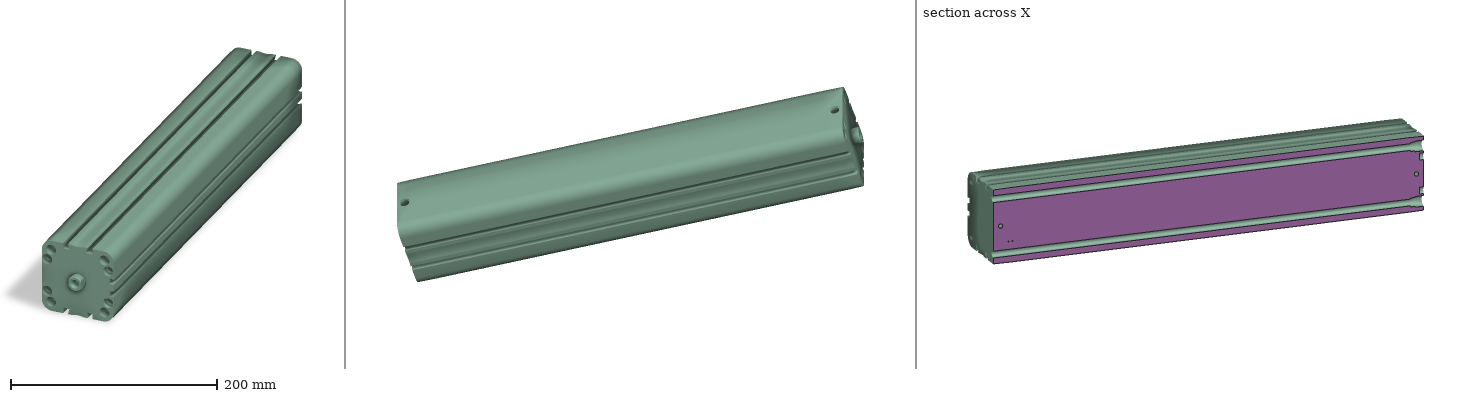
import cadquery as cq

side = 77.0
total_length = 457.0
rod_length = 7.5
corner_radius = 11.5
half = side / 2
cap_length = 14.0
cap_draft = 1.0
front_y = -total_length / 2 + rod_length
back_y = total_length / 2
cut_margin = 4.5

wide_slot_depth = 6.0
wide_slot_outer = 15.5
rib_top_half_width = 10.5
rib_root_half_width = 8.5
rib_groove_half_width = 6.5
rib_groove_depth = 1.0

side_slot_depth = 5.0
side_rib_half_width = 3.5
side_slot_mouth = 9.0
side_slot_floor = 10.5

mount_offset = 28.5
mount_hole_diameter = 6.5
mount_bore_diameter = 10.5
mount_bore_depth = 9.0
mount_step_diameter = 8.5
mount_step_depth = 13.5

screw_x = 32.5
screw_z = 17.5
screw_bore_diameter = 10.5
screw_bore_depth = 4.5
screw_socket_diameter = 6.5
screw_socket_depth = 2.7

port_inset = 7.8
port_bore_diameter = 10.5
port_bore_depth = 1.0
port_hole_diameter = 8.5
port_hole_depth = 8.0
port_passage_diameter = 4.0
port_passage_depth = 11.0

rod_diameter = 16.0
rod_clearance_diameter = 17.5
rod_clearance_depth = 2.5
rod_neck_length = 1.5
rod_flat_width = 13.0
rod_chamfer = 1.0
rod_hole_diameter = 7.0
rod_hole_depth = 18.5
rod_hole_mouth_diameter = 9.5


def along_y(profile, start, end):
    """Extrude a profile drawn in X and Z from y = start to y = end."""
    return profile.extrude(start - end).translate((0, start, 0))


def cylinder_y(x, z, diameter, start, end):
    profile = cq.Workplane("XZ").center(x, z).circle(diameter / 2)
    return along_y(profile, start, end)


def full_length_cutter(profile):
    return along_y(profile, front_y - cut_margin, back_y + cut_margin)


def four_places(x, z):
    return [(sx * x, sz * z) for sx in (-1, 1) for sz in (-1, 1)]


def make_cap(barrel, end):
    """Extend the barrel outline past one end, narrowing by the draft angle."""
    outline = barrel.faces(end).wires().toPending().workplane()
    return outline.extrude(cap_length, taper=cap_draft, combine=False)


def make_body():
    profile = cq.Workplane("XZ").rect(side, side)
    barrel = along_y(profile, front_y + cap_length, back_y - cap_length)
    barrel = barrel.edges("|Y").fillet(corner_radius)
    groove = top_groove()
    barrel = barrel.cut(groove).cut(groove.mirror("XY"))
    return barrel.union(make_cap(barrel, "<Y")).union(make_cap(barrel, ">Y"))


def top_slot():
    floor = half - wide_slot_depth
    profile = cq.Workplane("XZ").polyline([
        (rib_root_half_width, floor),
        (wide_slot_outer, floor),
        (wide_slot_outer, half + cut_margin),
        (rib_top_half_width, half + cut_margin),
        (rib_top_half_width, half),
    ]).close()
    return full_length_cutter(profile)


def top_groove():
    profile = (
        cq.Workplane("XZ")
        .moveTo(-rib_groove_half_width, half)
        .threePointArc((0, half - rib_groove_depth), (rib_groove_half_width, half))
        .lineTo(rib_groove_half_width, half + cut_margin)
        .lineTo(-rib_groove_half_width, half + cut_margin)
        .close()
    )
    return full_length_cutter(profile)


def side_slot():
    floor = half - side_slot_depth
    profile = cq.Workplane("XZ").polyline([
        (floor, side_rib_half_width),
        (half + cut_margin, side_rib_half_width),
        (half + cut_margin, side_slot_mouth),
        (half, side_slot_mouth),
        (floor, side_slot_floor),
    ]).close()
    return full_length_cutter(profile)


def cut_slots(body):
    slot = top_slot()
    narrow = side_slot()
    for cutter in (slot, slot.mirror("YZ")):
        body = body.cut(cutter).cut(cutter.mirror("XY"))
    return body.cut(narrow).cut(narrow.mirror("XY"))


def cut_mounting_holes(body):
    for x, z in four_places(mount_offset, mount_offset):
        hole = cylinder_y(x, z, mount_hole_diameter, front_y - cut_margin, back_y + cut_margin)
        bore = cylinder_y(x, z, mount_bore_diameter, front_y - cut_margin, front_y + mount_bore_depth)
        step = cylinder_y(x, z, mount_step_diameter, front_y - cut_margin, front_y + mount_step_depth)
        body = body.cut(hole).cut(step).cut(bore)
    return body


def cut_cover_screws(body):
    floor = front_y + screw_bore_depth
    for x, z in four_places(screw_x, screw_z):
        body = body.cut(cylinder_y(x, z, screw_bore_diameter, front_y - cut_margin, floor))
        body = body.cut(cylinder_y(x, z, screw_socket_diameter, front_y, floor + screw_socket_depth))
    return body


def cut_ports(body):
    for y in (front_y + port_inset, back_y - port_inset):
        for diameter, depth in (
            (port_bore_diameter, port_bore_depth),
            (port_hole_diameter, port_hole_depth),
            (port_passage_diameter, port_passage_depth),
        ):
            cutter = cq.Workplane("YZ").center(y, 0).circle(diameter / 2).extrude(depth)
            body = body.cut(cutter.translate((-half, 0, 0)))
    return body


def add_rod(body):
    tip = front_y - rod_length
    inner_end = front_y + rod_clearance_depth
    clearance = cylinder_y(0, 0, rod_clearance_diameter, front_y - cut_margin, inner_end)
    rod = cylinder_y(0, 0, rod_diameter, tip, inner_end).faces("<Y").chamfer(rod_chamfer)
    neck_y = front_y - rod_neck_length
    flat_part = along_y(cq.Workplane("XZ").rect(rod_flat_width, rod_diameter), tip, neck_y)
    full_part = cylinder_y(0, 0, rod_diameter, neck_y, inner_end)
    rod = rod.intersect(flat_part.union(full_part))
    hole = cylinder_y(0, 0, rod_hole_diameter, tip, tip + rod_hole_depth)
    mouth = (
        cq.Workplane("XZ", origin=(0, tip, 0))
        .circle(rod_hole_mouth_diameter / 2)
        .workplane(offset=-(rod_hole_mouth_diameter - rod_hole_diameter) / 2)
        .circle(rod_hole_diameter / 2)
        .loft(ruled=True)
    )
    return body.cut(clearance).union(rod).cut(hole).cut(mouth)


body = make_body()
body = cut_slots(body)
body = cut_mounting_holes(body)
body = cut_cover_screws(body)
body = cut_ports(body)
result = add_rod(body)